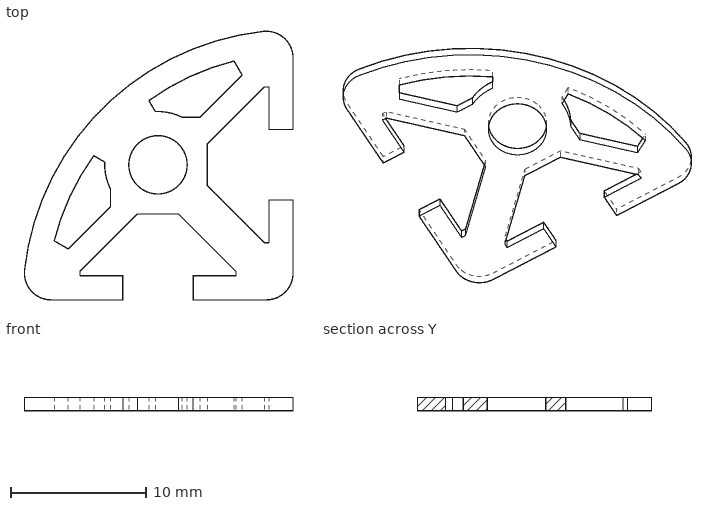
import cadquery as cq
import math

THICKNESS = 1.0
HALF_SIZE = 10.0
CORNER_RADIUS = 2.0
BORE_DIAMETER = 4.3

SLOT_OPENING = 5.2
SLOT_INNER_WIDTH = 11.5
LIP_THICKNESS = 1.8
CORE_WALL = 1.5
DIAGONAL_WEB = 3.0

WINDOW_WALL = 1.8
WINDOW_FLOOR = 3.52
WINDOW_FAR_END = 8.7
WINDOW_TILT = math.radians(30)

OUTER_RADIUS = 2 * HALF_SIZE
BORE_RADIUS = BORE_DIAMETER / 2
ROUND_CENTER = (HALF_SIZE, -HALF_SIZE)


def prism(points):
    return cq.Workplane("XY").polyline(points).close().extrude(THICKNESS)


def disc(radius, center=(0, 0)):
    return cq.Workplane("XY").center(*center).circle(radius).extrude(THICKNESS)


def mirror_diagonal(body):
    """Mirror a body across the vertical plane y = -x."""
    return body.mirror("XZ").rotate((0, 0, 0), (0, 0, 1), -90)


def quarter_round_blank():
    """Quarter disc centred on its square corner, with all three corners rounded."""
    corner_x, corner_y = ROUND_CENTER
    arc_reach = OUTER_RADIUS * math.sqrt(0.5)
    return (
        cq.Workplane("XY")
        .moveTo(corner_x, corner_y)
        .lineTo(corner_x, corner_y + OUTER_RADIUS)
        .threePointArc(
            (corner_x - arc_reach, corner_y + arc_reach),
            (corner_x - OUTER_RADIUS, corner_y),
        )
        .close()
        .extrude(THICKNESS)
        .edges("|Z")
        .fillet(CORNER_RADIUS)
    )


def side_slot():
    """T-slot open to +X, tapering at 45 degrees to a flat floor near the bore."""
    floor_x = BORE_RADIUS + CORE_WALL
    lip_x = HALF_SIZE - LIP_THICKNESS
    web_offset = DIAGONAL_WEB * math.sqrt(0.5)
    half_opening = SLOT_OPENING / 2
    half_inner = SLOT_INNER_WIDTH / 2
    upper = [
        (floor_x, floor_x - web_offset),
        (half_inner + web_offset, half_inner),
        (lip_x, half_inner),
        (lip_x, half_opening),
        (HALF_SIZE, half_opening),
    ]
    lower = [(x, -y) for x, y in reversed(upper)]
    return prism(upper + lower)


def upper_window():
    """Window between the round wall, the bore boss and the web to the upper corner."""
    cos_tilt = math.cos(WINDOW_TILT)
    sin_tilt = math.sin(WINDOW_TILT)
    web_rise = WINDOW_WALL * math.sqrt(2) - DIAGONAL_WEB * math.sqrt(0.5)

    def end_edge_point(distance, y):
        """Point at height y on the end edge this far from the bore axis."""
        return ((distance - y * sin_tilt) / cos_tilt, y)

    web_end_x = (WINDOW_FAR_END - web_rise * sin_tilt) / (cos_tilt + sin_tilt)
    beyond_wall = HALF_SIZE
    sector = prism([
        end_edge_point(WINDOW_WALL, WINDOW_FLOOR),
        (WINDOW_FLOOR - web_rise, WINDOW_FLOOR),
        (web_end_x, web_end_x + web_rise),
        end_edge_point(WINDOW_FAR_END, beyond_wall),
        end_edge_point(WINDOW_WALL, beyond_wall),
    ])
    inside_wall = disc(OUTER_RADIUS - WINDOW_WALL, ROUND_CENTER)
    boss = disc(BORE_RADIUS + WINDOW_WALL)
    return sector.intersect(inside_wall).cut(boss)


result = quarter_round_blank().cut(disc(BORE_RADIUS))
for opening in (side_slot(), upper_window()):
    result = result.cut(opening).cut(mirror_diagonal(opening))